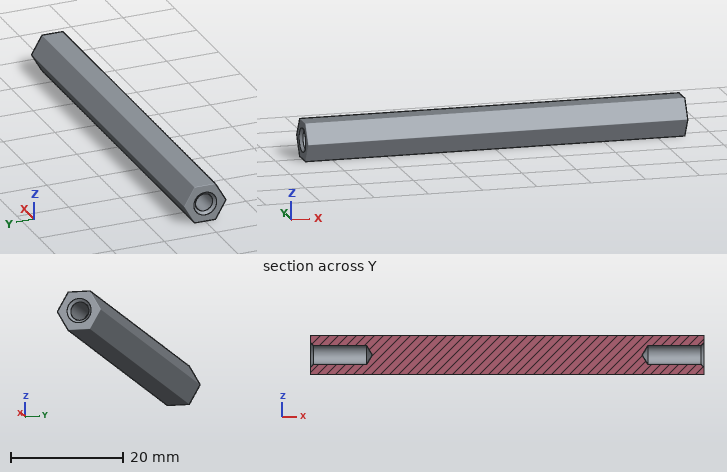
import cadquery as cq
import math

length = 70.0
across_flats = 7.0
across_corners = across_flats / math.cos(math.radians(30))
edge_radius = 0.1

hole_radius = 3.3 / 2
hole_depth = 10.0
drill_point_angle = 118.0
countersink_radius = 4.4 / 2
countersink_angle = 90.0


def cone_height(radius_change, full_angle):
    """Axial length over which a cone of the given full angle changes radius."""
    return radius_change / math.tan(math.radians(full_angle / 2))


def hex_bar():
    """Hexagonal bar with all its edges rounded."""
    bar = cq.Workplane("YZ").polygon(6, across_corners).extrude(length)
    return bar.edges().fillet(edge_radius)


def end_hole():
    """Volume of the countersunk blind hole that enters at x = 0."""
    countersink_depth = cone_height(countersink_radius - hole_radius, countersink_angle)
    tip_depth = hole_depth + cone_height(hole_radius, drill_point_angle)
    half_profile = (
        cq.Workplane("XY")
        .lineTo(0, countersink_radius)
        .lineTo(countersink_depth, hole_radius)
        .lineTo(hole_depth, hole_radius)
        .lineTo(tip_depth, 0)
        .close()
    )
    return half_profile.revolve(360, (0, 0, 0), (1, 0, 0))


near_hole = end_hole()
far_hole = near_hole.mirror("YZ", (length / 2, 0, 0))
result = hex_bar().cut(near_hole).cut(far_hole)